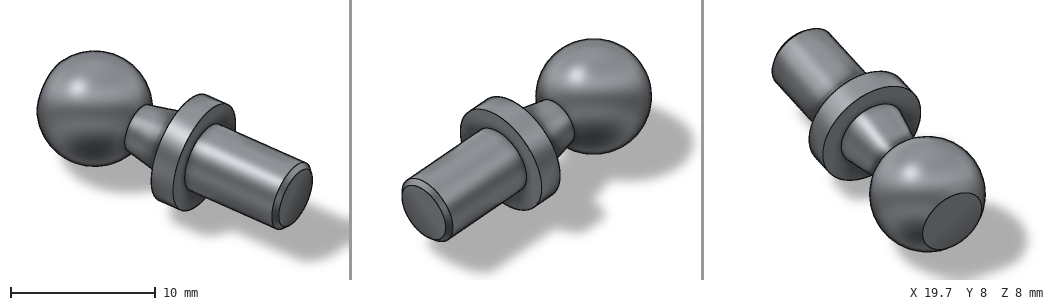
import cadquery as cq
import math

total_length = 19.7
ball_diameter = 8.0
face_to_ball_center = 3.2
neck_small_diameter = 3.5
shank_diameter = 5.0
shank_length = 7.5
collar_diameter = ball_diameter
collar_thickness = 1.8
end_chamfer = 0.35

ball_radius = ball_diameter / 2
neck_radius = neck_small_diameter / 2
shank_radius = shank_diameter / 2
collar_radius = collar_diameter / 2

face_x = -face_to_ball_center
end_x = total_length - face_to_ball_center
collar_back_x = end_x - shank_length
collar_front_x = collar_back_x - collar_thickness

face_radius = math.sqrt(ball_radius**2 - face_to_ball_center**2)
neck_start_x = math.sqrt(ball_radius**2 - neck_radius**2)

profile = (
    cq.Workplane("XY")
    .moveTo(face_x, 0)
    .lineTo(face_x, face_radius)
    .threePointArc((0, ball_radius), (neck_start_x, neck_radius))
    .lineTo(collar_front_x, shank_radius)
    .lineTo(collar_front_x, collar_radius)
    .lineTo(collar_back_x, collar_radius)
    .lineTo(collar_back_x, shank_radius)
    .lineTo(end_x - end_chamfer, shank_radius)
    .lineTo(end_x, shank_radius - end_chamfer)
    .lineTo(end_x, 0)
    .close()
)
result = profile.revolve(360, (0, 0, 0), (1, 0, 0))